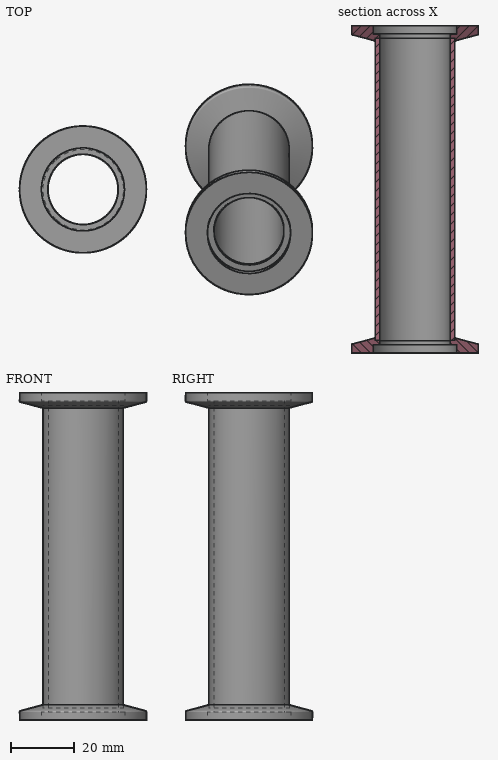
import cadquery as cq
import math

overall_length = 103.1
flange_diameter = 40.0

tube_diameter = 25.4
bore_diameter = 22.1

cone_angle = 15.0
flange_thickness = 4.8
rim_fillet = 0.5
recess_diameter = 26.2
recess_depth = 2.6
shelf_thickness = 1.3

flange_radius = flange_diameter / 2
tube_radius = tube_diameter / 2
bore_radius = bore_diameter / 2
recess_radius = recess_diameter / 2
tube_inset = recess_depth + shelf_thickness
cone_height = (flange_radius - tube_radius) * math.tan(math.radians(cone_angle))
rim_height = flange_thickness - cone_height


def make_tube():
    """Straight tube whose ends sit in the flange sockets."""
    return (
        cq.Workplane("XY")
        .workplane(offset=tube_inset)
        .circle(tube_radius)
        .circle(bore_radius)
        .extrude(overall_length - 2 * tube_inset)
    )


def make_flange():
    """Bottom flange: revolved profile with face recess, inner shelf and tube socket."""
    body = (
        cq.Workplane("XZ")
        .moveTo(recess_radius, 0)
        .lineTo(flange_radius, 0)
        .lineTo(flange_radius, rim_height)
        .lineTo(tube_radius, flange_thickness)
        .lineTo(tube_radius, tube_inset)
        .lineTo(bore_radius, tube_inset)
        .lineTo(bore_radius, recess_depth)
        .lineTo(recess_radius, recess_depth)
        .close()
        .revolve(360, (0, 0, 0), (0, 1, 0))
    )
    rim_edge = cq.selectors.RadiusNthSelector(-1)
    return body.edges(rim_edge).edges(">Z").fillet(rim_fillet)


tube = make_tube()

flanges = []
for turn in (0, 180):
    middle = overall_length / 2
    flange = make_flange().rotate((0, 0, middle), (1, 0, middle), turn)
    flanges.append(flange.val())

result = cq.Compound.makeCompound([tube.val(), *flanges])